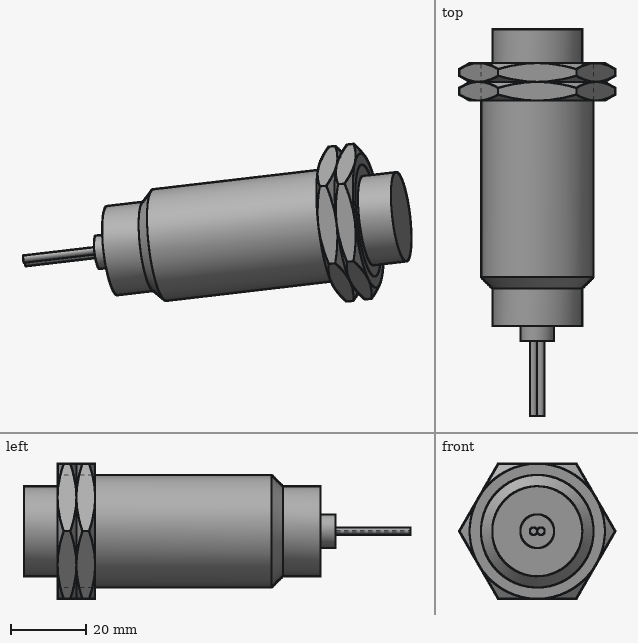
import cadquery as cq
import math

rear_neck_length = 9.0
barrel_end = 66.0
shoulder_length = 3.0
front_neck_length = 10.0
gland_length = 4.0
wire_length = 20.0

barrel_diameter = 30.0
neck_diameter = barrel_diameter - 2 * shoulder_length
gland_diameter = 9.0

wire_diameter = 2.0
wire_spacing = 1.95

nut_count = 2
nut_across_flats = 36.0
nut_thickness = 5.0
nut_chamfer_angle = 30.0

shoulder_end = barrel_end + shoulder_length
front_neck_end = shoulder_end + front_neck_length
gland_end = front_neck_end + gland_length


def cylinder(diameter, start, length):
    """Cylinder on the sensor axis, running towards -Y from the given station."""
    return (
        cq.Workplane("XZ", origin=(0, -start, 0))
        .circle(diameter / 2)
        .extrude(length)
    )


def make_turned_body():
    """Stepped profile of the necks, barrel, 45 degree shoulder and gland, revolved about Y."""
    barrel_radius = barrel_diameter / 2
    neck_radius = neck_diameter / 2
    gland_radius = gland_diameter / 2
    profile = [
        (0, 0),
        (neck_radius, 0),
        (neck_radius, -rear_neck_length),
        (barrel_radius, -rear_neck_length),
        (barrel_radius, -barrel_end),
        (neck_radius, -shoulder_end),
        (neck_radius, -front_neck_end),
        (gland_radius, -front_neck_end),
        (gland_radius, -gland_end),
        (0, -gland_end),
    ]
    return cq.Workplane("XY").polyline(profile).close().revolve(360, (0, 0, 0), (0, 1, 0))


def make_sensor():
    """Turned body with the two wires leaving the gland side by side in X."""
    sensor = make_turned_body()
    for side in (-1, 1):
        wire = cylinder(wire_diameter, gland_end, wire_length)
        sensor = sensor.union(wire.translate((side * wire_spacing / 2, 0, 0)))
    return sensor


def make_nut(start):
    """Hex nut with corners along X, both faces chamfered, bored to fit the barrel."""
    corner_radius = nut_across_flats / math.sqrt(3)
    face_radius = nut_across_flats / 2
    chamfer_drop = (corner_radius - face_radius) * math.tan(math.radians(nut_chamfer_angle))
    nut_end = start + nut_thickness

    hexagon = (
        cq.Workplane("XZ", origin=(0, -start, 0))
        .polygon(6, 2 * corner_radius)
        .extrude(nut_thickness)
    )
    blank_profile = [
        (0, -start),
        (face_radius, -start),
        (corner_radius, -start - chamfer_drop),
        (corner_radius, -nut_end + chamfer_drop),
        (face_radius, -nut_end),
        (0, -nut_end),
    ]
    blank = (
        cq.Workplane("XY")
        .polyline(blank_profile)
        .close()
        .revolve(360, (0, 0, 0), (0, 1, 0))
    )
    bore = cylinder(barrel_diameter, start, nut_thickness)
    return hexagon.intersect(blank).cut(bore)


sensor = make_sensor()

nuts = []
for index in range(nut_count):
    nut = make_nut(rear_neck_length + index * nut_thickness)
    nuts.append(nut.val())

result = cq.Compound.makeCompound([sensor.val(), *nuts])